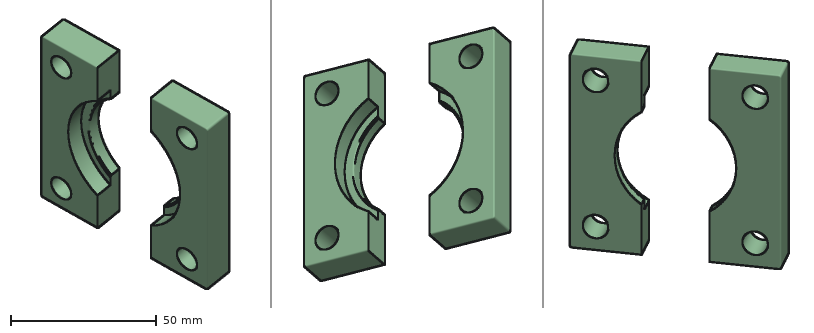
import cadquery as cq
import math

SIZE = 75.0
THICKNESS = 12.0
GAP = 24.0
HALF_WIDTH = (SIZE - GAP) / 2

BORE_DIAMETER = 43.0
BORE_FILLET = 0.5
COUNTERBORE_DIAMETER = 50.25
COUNTERBORE_DEPTH = 7.0

HOLE_DIAMETER = 9.0
HOLE_SPACING = 56.5

CORNER_RADIUS = 1.0
FACE_FILLET = 0.5

FRONT_Y = -THICKNESS / 2
STEP_Y = FRONT_Y + COUNTERBORE_DEPTH


def rounded_plate():
    """Full square plate with rounded corners and filleted face rims."""
    plate = cq.Workplane("XY").box(SIZE, THICKNESS, SIZE)
    plate = plate.edges("|Y").fillet(CORNER_RADIUS)
    return plate.faces("<Y or >Y").edges().fillet(FACE_FILLET)


def stepped_opening():
    """Front counterbore leading into a smaller bore, with a rounded lip where the bore begins."""
    bore_radius = BORE_DIAMETER / 2
    counterbore_radius = COUNTERBORE_DIAMETER / 2
    lip_inset = BORE_FILLET * (1 - math.sqrt(0.5))
    return (
        cq.Workplane("XY")
        .moveTo(0, FRONT_Y)
        .lineTo(counterbore_radius, FRONT_Y)
        .lineTo(counterbore_radius, STEP_Y)
        .lineTo(bore_radius + BORE_FILLET, STEP_Y)
        .threePointArc(
            (bore_radius + lip_inset, STEP_Y + lip_inset),
            (bore_radius, STEP_Y + BORE_FILLET),
        )
        .lineTo(bore_radius, THICKNESS / 2)
        .lineTo(0, THICKNESS / 2)
        .close()
        .revolve(360, (0, 0, 0), (0, 1, 0))
    )


def bolt_holes():
    """Four through holes along Y."""
    return (
        cq.Workplane("XZ", origin=(0, FRONT_Y, 0))
        .rarray(HOLE_SPACING, HOLE_SPACING, 2, 2)
        .circle(HOLE_DIAMETER / 2)
        .extrude(-THICKNESS)
    )


def clamp_half(side):
    """One clamp half; side is -1 for the -X half and +1 for the +X half."""
    center_x = side * (GAP + HALF_WIDTH) / 2
    envelope = cq.Workplane("XY").box(HALF_WIDTH, THICKNESS, SIZE).translate((center_x, 0, 0))
    return rounded_plate().intersect(envelope).cut(stepped_opening()).cut(bolt_holes())


clamp_halves = [clamp_half(side) for side in (-1, 1)]

result = cq.Compound.makeCompound([half.val() for half in clamp_halves])